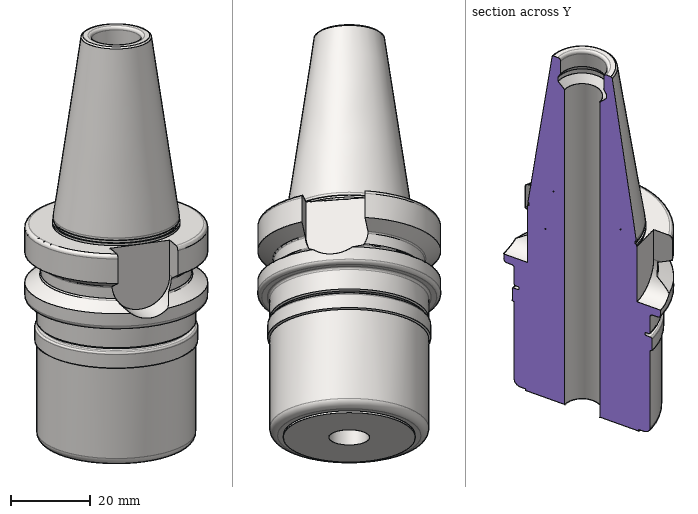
import cadquery as cq
import math

GAUGE_RADIUS = 31.75 / 2
TAPER_SLOPE = 7 / 48
TAPER_LENGTH = 48.4
TIP_CHAMFER = 0.4
PROJECTION = 60.0

RELIEF_RADIUS = 15.6
SHOULDER_RADIUS = 16.05
RELIEF_TOP_Z = -0.7
RELIEF_BOTTOM_Z = -1.4

FLANGE_RADIUS = 23.0
FLANGE_TOP_Z = -2.0
FLANGE_BOTTOM_Z = -22.0
FLANGE_FILLET = 1.0
GROOVE_CENTRE_Z = -13.6
GROOVE_HALF_WIDTH = 4.05
GROOVE_FLOOR_RADIUS = 19.0
GROOVE_FLANK_ANGLE = math.radians(30)
GROOVE_FLOOR_FILLET = 0.5

BODY_RADIUS = 20.0
NECK_FILLET = 0.6
NECK_BOTTOM_Z = -28.25
NECK_CHAMFER = 0.4
UNDERCUT_RADIUS = 18.5
UNDERCUT_FILLET = 0.3
COLLAR_RADIUS = 20.5
COLLAR_TOP_Z = -29.0
COLLAR_BOTTOM_Z = -33.4
COLLAR_FILLET = 0.5
COLLAR_CHAMFER_HEIGHT = 0.3
BODY_BOTTOM_Z = -59.5
BODY_FILLET = 2.0
FACE_RADIUS = 16.6

PILOT_RADIUS = 6.25
PILOT_DEPTH = 4.85
PILOT_BOTTOM_Z = TAPER_LENGTH - PILOT_DEPTH
PILOT_LIP_FILLET = 0.85
UNDERCUT_BORE_RADIUS = 7.0
UNDERCUT_CONE_ANGLE = math.radians(30)
UNDERCUT_LENGTH = 1.3
THREAD_HOLE_RADIUS = 5.1

SLOT_WIDTH = 16.1
SLOT_FLOOR_X = 16.1
SLOT_BOTTOM_Z = -19.4


def quarter_arc_middle(start, end, centre):
    """Middle point of a quarter arc from start to end about centre, all as (r, z)."""
    return tuple(c + ((s - c) + (e - c)) * math.sqrt(0.5) for s, e, c in zip(start, end, centre))


def quarter_arc(profile, start, end, centre):
    """Draw a line to start, then a quarter arc about centre to end."""
    return profile.lineTo(*start).threePointArc(quarter_arc_middle(start, end, centre), end)


def groove_corner(profile, side):
    """Draw the rounded floor corner of the V-groove, above (+1) or below (-1) its centre."""
    groove_depth = FLANGE_RADIUS - GROOVE_FLOOR_RADIUS
    floor_half_width = GROOVE_HALF_WIDTH - groove_depth * math.tan(GROOVE_FLANK_ANGLE)
    turn = math.pi / 2 - GROOVE_FLANK_ANGLE
    tangent_length = GROOVE_FLOOR_FILLET * math.tan(turn / 2)
    centre_r = GROOVE_FLOOR_RADIUS + GROOVE_FLOOR_FILLET
    centre_height = floor_half_width - tangent_length

    def arc_point(angle):
        return (
            centre_r - GROOVE_FLOOR_FILLET * math.cos(angle),
            GROOVE_CENTRE_Z + side * (centre_height + GROOVE_FLOOR_FILLET * math.sin(angle)),
        )

    flank_end = arc_point(turn)
    floor_end = arc_point(0)
    start, end = (flank_end, floor_end) if side > 0 else (floor_end, flank_end)
    return profile.lineTo(*start).threePointArc(arc_point(turn / 2), end)


def outer_body():
    """Revolve the outside profile about Z."""
    tip_radius = GAUGE_RADIUS - TAPER_SLOPE * TAPER_LENGTH
    profile = (
        cq.Workplane("XZ")
        .moveTo(0, TAPER_LENGTH)
        .lineTo(tip_radius - TIP_CHAMFER, TAPER_LENGTH)
        .lineTo(tip_radius + TAPER_SLOPE * TIP_CHAMFER, TAPER_LENGTH - TIP_CHAMFER)
        .lineTo(GAUGE_RADIUS, 0)
        .lineTo(GAUGE_RADIUS, RELIEF_TOP_Z)
        .lineTo(RELIEF_RADIUS, RELIEF_TOP_Z)
        .lineTo(RELIEF_RADIUS, RELIEF_BOTTOM_Z)
        .lineTo(SHOULDER_RADIUS, RELIEF_BOTTOM_Z)
        .lineTo(SHOULDER_RADIUS, FLANGE_TOP_Z)
    )
    flange_arc_r = FLANGE_RADIUS - FLANGE_FILLET
    flange_upper_z = FLANGE_TOP_Z - FLANGE_FILLET
    profile = quarter_arc(
        profile,
        start=(flange_arc_r, FLANGE_TOP_Z),
        end=(FLANGE_RADIUS, flange_upper_z),
        centre=(flange_arc_r, flange_upper_z),
    )
    profile = profile.lineTo(FLANGE_RADIUS, GROOVE_CENTRE_Z + GROOVE_HALF_WIDTH)
    for side in (1, -1):
        profile = groove_corner(profile, side)
    profile = profile.lineTo(FLANGE_RADIUS, GROOVE_CENTRE_Z - GROOVE_HALF_WIDTH)
    flange_lower_z = FLANGE_BOTTOM_Z + FLANGE_FILLET
    profile = quarter_arc(
        profile,
        start=(FLANGE_RADIUS, flange_lower_z),
        end=(flange_arc_r, FLANGE_BOTTOM_Z),
        centre=(flange_arc_r, flange_lower_z),
    )
    neck_arc_r = BODY_RADIUS + NECK_FILLET
    neck_arc_z = FLANGE_BOTTOM_Z - NECK_FILLET
    profile = quarter_arc(
        profile,
        start=(neck_arc_r, FLANGE_BOTTOM_Z),
        end=(BODY_RADIUS, neck_arc_z),
        centre=(neck_arc_r, neck_arc_z),
    )
    profile = (
        profile.lineTo(BODY_RADIUS, NECK_BOTTOM_Z + NECK_CHAMFER)
        .lineTo(BODY_RADIUS - NECK_CHAMFER, NECK_BOTTOM_Z)
        .lineTo(UNDERCUT_RADIUS, NECK_BOTTOM_Z)
    )
    undercut_arc_r = UNDERCUT_RADIUS + UNDERCUT_FILLET
    undercut_arc_z = COLLAR_TOP_Z + UNDERCUT_FILLET
    profile = quarter_arc(
        profile,
        start=(UNDERCUT_RADIUS, undercut_arc_z),
        end=(undercut_arc_r, COLLAR_TOP_Z),
        centre=(undercut_arc_r, undercut_arc_z),
    )
    collar_arc_r = COLLAR_RADIUS - COLLAR_FILLET
    collar_arc_z = COLLAR_TOP_Z - COLLAR_FILLET
    profile = quarter_arc(
        profile,
        start=(collar_arc_r, COLLAR_TOP_Z),
        end=(COLLAR_RADIUS, collar_arc_z),
        centre=(collar_arc_r, collar_arc_z),
    )
    profile = (
        profile.lineTo(COLLAR_RADIUS, COLLAR_BOTTOM_Z + COLLAR_CHAMFER_HEIGHT)
        .lineTo(BODY_RADIUS, COLLAR_BOTTOM_Z)
    )
    body_arc_r = BODY_RADIUS - BODY_FILLET
    body_arc_z = BODY_BOTTOM_Z + BODY_FILLET
    profile = quarter_arc(
        profile,
        start=(BODY_RADIUS, body_arc_z),
        end=(body_arc_r, BODY_BOTTOM_Z),
        centre=(body_arc_r, body_arc_z),
    )
    return (
        profile.lineTo(FACE_RADIUS, BODY_BOTTOM_Z)
        .lineTo(FACE_RADIUS, -PROJECTION)
        .lineTo(0, -PROJECTION)
        .close()
        .revolve(360, (0, 0, 0), (0, 1, 0))
    )


def bore():
    """Through hole with a round-lipped pilot bore and an undercut at the taper tip."""
    lip_r = PILOT_RADIUS + PILOT_LIP_FILLET
    lip_z = TAPER_LENGTH - PILOT_LIP_FILLET
    undercut_step = UNDERCUT_BORE_RADIUS - PILOT_RADIUS
    undercut_top_z = PILOT_BOTTOM_Z - undercut_step / math.tan(UNDERCUT_CONE_ANGLE)
    undercut_bottom_z = undercut_top_z - UNDERCUT_LENGTH
    floor_depth = UNDERCUT_BORE_RADIUS - THREAD_HOLE_RADIUS
    profile = quarter_arc(
        cq.Workplane("XZ").moveTo(0, TAPER_LENGTH),
        start=(lip_r, TAPER_LENGTH),
        end=(PILOT_RADIUS, lip_z),
        centre=(lip_r, lip_z),
    )
    return (
        profile.lineTo(PILOT_RADIUS, PILOT_BOTTOM_Z)
        .lineTo(UNDERCUT_BORE_RADIUS, undercut_top_z)
        .lineTo(UNDERCUT_BORE_RADIUS, undercut_bottom_z)
        .lineTo(THREAD_HOLE_RADIUS, undercut_bottom_z - floor_depth)
        .lineTo(THREAD_HOLE_RADIUS, -PROJECTION)
        .lineTo(0, -PROJECTION)
        .close()
        .revolve(360, (0, 0, 0), (0, 1, 0))
    )


def drive_slot(side):
    """Round-ended slot, open at the flange top; side is +1 or -1 along X."""
    radius = SLOT_WIDTH / 2
    round_centre_z = SLOT_BOTTOM_Z + radius
    return (
        cq.Workplane("YZ", origin=(side * SLOT_FLOOR_X, 0, 0))
        .moveTo(-radius, FLANGE_TOP_Z)
        .lineTo(-radius, round_centre_z)
        .threePointArc((0, SLOT_BOTTOM_Z), (radius, round_centre_z))
        .lineTo(radius, FLANGE_TOP_Z)
        .close()
        .extrude(side * FLANGE_RADIUS)
    )


result = outer_body().cut(bore())
for slot_side in (-1, 1):
    result = result.cut(drive_slot(slot_side))